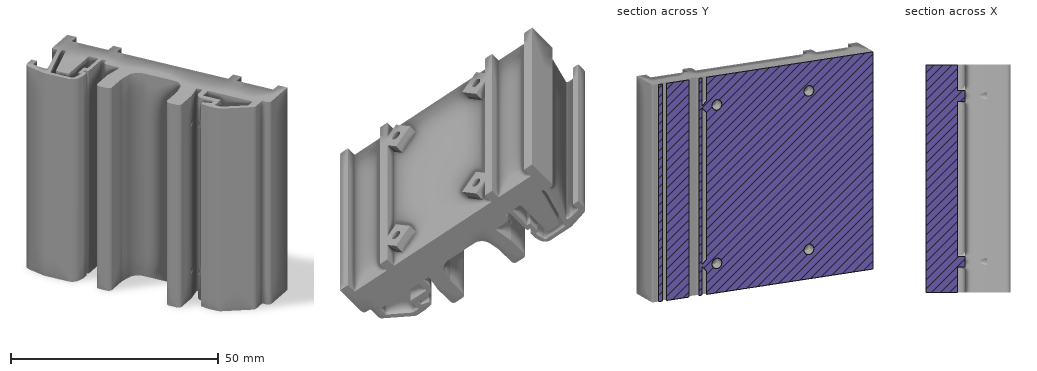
import cadquery as cq
import math


length = 55.0
half_width = 30.0
rail_height = 2.5
foot_bottom = -18.0

web_bottom = -7.0
thin_web_bottom = -5.1
thick_web_bottom = -7.95
edge_radius = 0.45
root_radius = 0.4

end_rail_width = 2.5
inner_rail_outside = 17.5
inner_rail_width = 2.3

hole_diameter = 2.5
hole_x = 12.5
hole_z = 20.0
hole_bottom = -12.3
boss_half_diagonal = 4.4

leg_inside = 7.5
leg_width = 4.0
leg_outside = leg_inside + leg_width
leg_taper_start = -12.0
leg_inside_at_web = 6.5
leg_outside_at_web = 10.65
leg_root_radius = 3.0
leg_tip_radius = 1.0

spring_ledge = -5.6
spring_root_x = -28.4
arm_toe = (-25.9, -15.7)
lip_end = -31.6
lip_thickness = 1.55
lip_top = -13.05
lip_saddle = (-27.7, -15.65)
lip_inner_corner_y = -15.1
lip_outer_corner_y = -16.4
lip_inner_radius = 0.5
lip_outer_radius = 1.65
lip_slope_end_x = -25.55
spring_wall_outside = -16.5
spring_wall = 0.9
spring_wall_inside = spring_wall_outside - spring_wall
spring_floor = 1.0
heel_x = -17.25
heel_top = -14.85
heel_radius = 2.35

notch_top = -12.15
notch_bottom = -12.95
bump_top = notch_top + 1.25
bump_bottom = notch_bottom - 0.85
catch_slope = 0.3

slot_left = -27.3
slot_bend_y = -6.3
slot_floor_left = -24.4
slot_floor_right = -18.1
slot_floor_radius = 0.6
wedge_top_left = -26.35
wedge_tip_left = -23.6
wedge_right = -20.1
wedge_bottom = -15.6

groove_right = -15.35
groove_flare = 1.25

clip_ledge = -6.5
clip_ledge_radius = 0.9
clip_left = 12.45
clip_right = 27.9
clip_wall = 1.4
clip_end_wall = 1.85
clip_shelf_top = -10.7
clip_shelf_bottom = -12.1
clip_shelf_radius = 2.1
clip_post_left = 17.6
clip_post_right = 18.8
clip_bottom = -15.1
clip_floor_top = -13.8
clip_slope_x = 20.65
clip_slope_top = -10.15
clip_slope_low_radius = 1.9
clip_slope_high_radius = 1.0
hook_tip_x = 15.5
hook_tip_bottom = -14.7
hook_top = -13.25


def corner_arc(before, corner, after, radius):
    """Return start, middle and end of the arc that rounds one corner."""
    to_before = (cq.Vector(*before) - cq.Vector(*corner)).normalized()
    to_after = (cq.Vector(*after) - cq.Vector(*corner)).normalized()
    half_angle = to_before.getAngle(to_after) / 2
    tangent_length = radius / math.tan(half_angle)
    bisector = (to_before + to_after).normalized()
    tip = cq.Vector(*corner)
    start = tip + to_before * tangent_length
    middle = tip + bisector * (radius / math.sin(half_angle) - radius)
    end = tip + to_after * tangent_length
    return start.toTuple()[:2], middle.toTuple()[:2], end.toTuple()[:2]


def bar(corners):
    """Extrude a closed outline of (x, y) or (x, y, corner radius) over the full length."""
    points = [corner[:2] for corner in corners]
    path = cq.Workplane("XY").workplane(offset=-length / 2)
    for i, corner in enumerate(corners):
        if len(corner) == 3:
            following = points[(i + 1) % len(points)]
            start, middle, end = corner_arc(points[i - 1], points[i], following, corner[2])
            path = path.lineTo(*start) if i else path.moveTo(*start)
            path = path.threePointArc(middle, end)
        else:
            path = path.lineTo(*points[i]) if i else path.moveTo(*points[i])
    return path.close().extrude(length)


def block(x_min, x_max, y_min, y_max):
    return bar([(x_min, y_min), (x_max, y_min), (x_max, y_max), (x_min, y_max)])


def web():
    thin = block(-half_width, half_width, thin_web_bottom, 0)
    middle = block(spring_wall_outside, leg_outside, web_bottom, 0)
    clip_end = bar([
        (leg_outside_at_web, 0),
        (leg_outside_at_web, thick_web_bottom),
        (clip_right, thick_web_bottom),
        (clip_right, clip_ledge, root_radius),
        (half_width, clip_ledge, clip_ledge_radius),
        (half_width, 0),
    ])
    return thin.union(middle).union(clip_end).cut(groove())


def groove():
    """Clearance between the spring wall and the middle of the web, flared at its mouth."""
    mouth_right = -(leg_outside + edge_radius)
    return bar([
        (spring_wall_outside, thin_web_bottom, root_radius),
        (groove_right, thin_web_bottom, root_radius),
        (groove_right, web_bottom, groove_flare),
        (mouth_right, web_bottom),
        (mouth_right, leg_taper_start),
        (spring_wall_outside, leg_taper_start),
    ])


def back_rails(side):
    end_rail = block(half_width - end_rail_width, half_width, thin_web_bottom, rail_height)
    inner_rail = block(inner_rail_outside - inner_rail_width, inner_rail_outside,
                       thin_web_bottom, rail_height)
    rails = end_rail.union(inner_rail)
    return rails if side > 0 else rails.mirror("YZ")


def leg(side):
    outer_web_bottom = thick_web_bottom if side > 0 else web_bottom
    channel_flat = leg_inside_at_web - 2 * leg_root_radius
    taper = (leg_outside - leg_outside_at_web) / (web_bottom - leg_taper_start)
    outer_root = leg_outside_at_web + taper * (web_bottom - outer_web_bottom)
    root_end = outer_root + 2 * root_radius
    shape = bar([
        (channel_flat, thin_web_bottom),
        (channel_flat, web_bottom),
        (leg_inside_at_web, web_bottom, leg_root_radius),
        (leg_inside, leg_taper_start),
        (leg_inside, foot_bottom, leg_tip_radius),
        (leg_outside, foot_bottom, leg_tip_radius),
        (leg_outside, leg_taper_start),
        (outer_root, outer_web_bottom, root_radius),
        (root_end, outer_web_bottom),
        (root_end, thin_web_bottom),
    ])
    return shape if side > 0 else shape.mirror("YZ")


def spring_foot():
    return bar([
        (-half_width, thin_web_bottom),
        (-half_width, spring_ledge, edge_radius),
        (spring_root_x, spring_ledge, root_radius),
        (*arm_toe, root_radius),
        lip_saddle,
        (lip_end + lip_thickness, lip_inner_corner_y, lip_inner_radius),
        (lip_end + lip_thickness, lip_top),
        (lip_end, lip_top),
        (lip_end, lip_outer_corner_y, lip_outer_radius),
        (lip_slope_end_x, foot_bottom),
        (heel_x, foot_bottom, heel_radius),
        (spring_wall_outside, heel_top),
        (spring_wall_outside, notch_bottom - catch_slope),
        (spring_wall_inside, notch_bottom),
        (spring_wall_inside, notch_top),
        (spring_wall_outside, notch_top),
        (spring_wall_outside, thin_web_bottom),
    ])


def spring_slot():
    bump_left = spring_wall_inside - spring_wall
    slot_floor = foot_bottom + spring_floor
    return bar([
        (slot_left, thin_web_bottom),
        (slot_left, slot_bend_y),
        (slot_floor_left, slot_floor, root_radius),
        (slot_floor_right, slot_floor, slot_floor_radius),
        (spring_wall_inside, heel_top + catch_slope),
        (spring_wall_inside, bump_bottom - catch_slope),
        (bump_left, bump_bottom),
        (bump_left, bump_top),
        (spring_wall_inside, bump_top),
        (spring_wall_inside, thin_web_bottom, edge_radius),
        (wedge_right, thin_web_bottom, edge_radius),
        (wedge_right, wedge_bottom, edge_radius),
        (wedge_tip_left, wedge_bottom, edge_radius),
        (wedge_top_left, thin_web_bottom, root_radius),
    ])


def fixed_clip():
    outside = bar([
        (clip_left, thick_web_bottom),
        (clip_left, clip_shelf_bottom, clip_shelf_radius),
        (clip_post_left, clip_shelf_bottom),
        (clip_post_left, hook_top),
        (hook_tip_x, clip_floor_top),
        (hook_tip_x, hook_tip_bottom),
        (clip_post_left, clip_bottom),
        (clip_slope_x, clip_bottom, clip_slope_low_radius),
        (clip_right, clip_slope_top, clip_slope_high_radius),
        (clip_right, thick_web_bottom),
    ])
    cavity_left = clip_left + clip_wall
    cavity_right = clip_right - clip_end_wall
    cavity = bar([
        (cavity_left, thick_web_bottom),
        (cavity_left, clip_shelf_top),
        (clip_post_right, clip_shelf_top),
        (clip_post_right, clip_floor_top),
        (clip_slope_x, clip_floor_top),
        (cavity_right, clip_slope_top, root_radius),
        (cavity_right, thick_web_bottom),
    ])
    return outside.cut(cavity)


def screw_prism(sketch, bottom):
    """Push a closed sketch on the XZ plane from the given Y to the top of the rails."""
    return sketch.extrude(-(rail_height - bottom)).translate((0, bottom, 0))


screw_points = [(x, z) for x in (-hole_x, hole_x) for z in (-hole_z, hole_z)]
screw_plane = cq.Workplane("XZ").pushPoints(screw_points)

bosses = screw_prism(screw_plane.polygon(4, 2 * boss_half_diagonal), web_bottom)

holes = screw_prism(screw_plane.circle(hole_diameter / 2), hole_bottom)

result = web().union(spring_foot()).cut(spring_slot()).union(fixed_clip())
for side in (-1, 1):
    result = result.union(back_rails(side)).union(leg(side))
result = result.union(bosses).cut(holes)